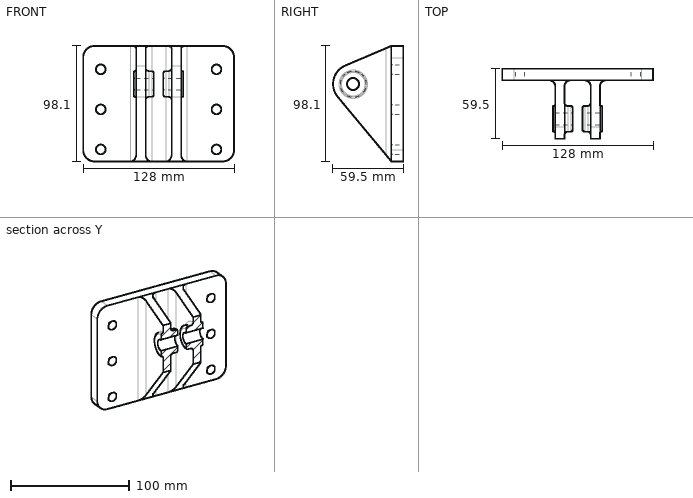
import cadquery as cq
import math

PLATE_WIDTH = 128.0
PLATE_HEIGHT = 98.05
PLATE_THICKNESS = 10.0
PLATE_CORNER_RADIUS = 10.0

MOUNT_HOLE_DIAMETER = 8.0
MOUNT_HOLE_OFFSET_X = 49.0
MOUNT_HOLE_PITCH_Z = 33.9
LOWEST_MOUNT_HOLE_Z = 10.3
MOUNT_HOLES_PER_COLUMN = 3

LUG_THICKNESS = 8.0
LUG_GAP = 22.0
LUG_ROOT_FILLET = 5.0
LUG_TIP_RADIUS = 17.0
LUG_REACH = 59.53

PIN_DIAMETER = 10.0
PIN_DROP_FROM_TOP = 32.35
BOSS_DIAMETER = 22.0
INNER_BOSS_HEIGHT = 7.0
INNER_BOSS_ROOT_FILLET = 2.5
INNER_BOSS_EDGE_FILLET = 2.0
OUTER_BOSS_HEIGHT = 2.0
OUTER_BOSS_ROOT_FILLET = 1.0
OUTER_BOSS_EDGE_FILLET = 1.0

PLATE_FRONT_Y = -PLATE_THICKNESS
PIN_Y = LUG_TIP_RADIUS - LUG_REACH
PIN_Z = PLATE_HEIGHT - PIN_DROP_FROM_TOP
LUG_INNER_X = LUG_GAP / 2
LUG_OUTER_X = LUG_INNER_X + LUG_THICKNESS


def make_plate():
    """Plate with rounded corners and two columns of through holes."""
    plate = (
        cq.Workplane("XY")
        .box(PLATE_WIDTH, PLATE_THICKNESS, PLATE_HEIGHT)
        .edges("|Y")
        .fillet(PLATE_CORNER_RADIUS)
        .translate((0, -PLATE_THICKNESS / 2, PLATE_HEIGHT / 2))
    )
    hole_centers = [
        (side * MOUNT_HOLE_OFFSET_X, LOWEST_MOUNT_HOLE_Z + row * MOUNT_HOLE_PITCH_Z)
        for side in (-1, 1)
        for row in range(MOUNT_HOLES_PER_COLUMN)
    ]
    holes = (
        cq.Workplane("XZ")
        .pushPoints(hole_centers)
        .circle(MOUNT_HOLE_DIAMETER / 2)
        .extrude(PLATE_THICKNESS)
    )
    return plate.cut(holes)


def tip_tangent_point(corner_z, side):
    """Point (y, z) where the line from a plate corner touches the lug tip circle.

    side is +1 for the upper tangent line and -1 for the lower one.
    """
    to_corner_y = PLATE_FRONT_Y - PIN_Y
    to_corner_z = corner_z - PIN_Z
    distance = math.hypot(to_corner_y, to_corner_z)
    corner_angle = math.atan2(to_corner_z, to_corner_y)
    tangent_angle = corner_angle + side * math.acos(LUG_TIP_RADIUS / distance)
    return (
        PIN_Y + LUG_TIP_RADIUS * math.cos(tangent_angle),
        PIN_Z + LUG_TIP_RADIUS * math.sin(tangent_angle),
    )


def make_side_profile():
    """Side outline of the lugs, extruded along X over the width of the plate."""
    return (
        cq.Workplane("YZ")
        .moveTo(0, 0)
        .lineTo(PLATE_FRONT_Y, 0)
        .lineTo(*tip_tangent_point(0, -1))
        .threePointArc((-LUG_REACH, PIN_Z), tip_tangent_point(PLATE_HEIGHT, 1))
        .lineTo(PLATE_FRONT_Y, PLATE_HEIGHT)
        .lineTo(0, PLATE_HEIGHT)
        .close()
        .extrude(PLATE_WIDTH / 2, both=True)
    )


def make_lug():
    """Lug on the +X side, flared into the plate and trimmed to the side outline."""
    flare_y = PLATE_FRONT_Y - LUG_ROOT_FILLET
    flare_inner_x = LUG_INNER_X - LUG_ROOT_FILLET
    flare_outer_x = LUG_OUTER_X + LUG_ROOT_FILLET
    flared_bar = (
        cq.Workplane("XY")
        .moveTo(LUG_INNER_X, -LUG_REACH)
        .lineTo(LUG_INNER_X, flare_y)
        .radiusArc((flare_inner_x, PLATE_FRONT_Y), -LUG_ROOT_FILLET)
        .lineTo(flare_inner_x, 0)
        .lineTo(flare_outer_x, 0)
        .lineTo(flare_outer_x, PLATE_FRONT_Y)
        .radiusArc((LUG_OUTER_X, flare_y), -LUG_ROOT_FILLET)
        .lineTo(LUG_OUTER_X, -LUG_REACH)
        .close()
        .extrude(PLATE_HEIGHT)
    )
    return flared_bar.intersect(make_side_profile())


def make_boss(face_x, direction, height, root_fillet, edge_fillet):
    """Round boss on a lug face, with a fillet at its root and a rounded rim.

    direction is the sign of X along which the boss rises from face_x.
    """
    radius = BOSS_DIAMETER / 2
    mid_lug_x = LUG_INNER_X + LUG_THICKNESS / 2
    end_x = face_x + direction * height
    fillet_end_x = face_x + direction * root_fillet
    rim_start_x = end_x - direction * edge_fillet
    axis_plane = cq.Workplane("XZ", origin=(0, PIN_Y, PIN_Z))
    barrel = (
        axis_plane.moveTo(mid_lug_x, 0)
        .lineTo(mid_lug_x, radius)
        .lineTo(rim_start_x, radius)
        .radiusArc((end_x, radius - edge_fillet), direction * edge_fillet)
        .lineTo(end_x, 0)
        .close()
        .revolve(360, (0, 0, 0), (1, 0, 0))
    )
    root_flare = (
        axis_plane.moveTo(mid_lug_x, 0)
        .lineTo(mid_lug_x, radius + root_fillet)
        .lineTo(face_x, radius + root_fillet)
        .radiusArc((fillet_end_x, radius), -direction * root_fillet)
        .lineTo(fillet_end_x, 0)
        .close()
        .revolve(360, (0, 0, 0), (1, 0, 0))
    )
    return barrel.union(root_flare)


def make_lug_with_bosses():
    """Complete +X lug: flared rib, tall inner boss and low outer boss."""
    inner_boss = make_boss(
        LUG_INNER_X, -1, INNER_BOSS_HEIGHT, INNER_BOSS_ROOT_FILLET, INNER_BOSS_EDGE_FILLET
    )
    outer_boss = make_boss(
        LUG_OUTER_X, 1, OUTER_BOSS_HEIGHT, OUTER_BOSS_ROOT_FILLET, OUTER_BOSS_EDGE_FILLET
    )
    return make_lug().union(inner_boss).union(outer_boss)


def make_pin_bore():
    """Cylinder along X that bores both lugs and their bosses."""
    return (
        cq.Workplane("YZ", origin=(0, PIN_Y, PIN_Z))
        .circle(PIN_DIAMETER / 2)
        .extrude(PLATE_WIDTH / 2, both=True)
    )


lug = make_lug_with_bosses()
result = make_plate().union(lug).union(lug.mirror("YZ")).cut(make_pin_bore())